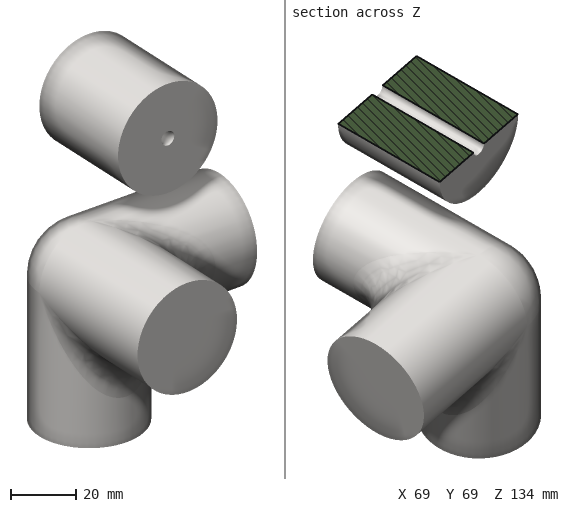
import cadquery as cq

tube_diameter = 38.0
tube_radius = tube_diameter / 2
arm_length = 50.0
crease_fillet = 15.0

plug_length = 40.0
plug_bore = 5.0
overall_height = 134
plug_axis_z = overall_height - arm_length - tube_radius

ARM_DIRECTIONS = [(1, 0, 0), (0, 1, 0), (0, 0, -1)]


def make_elbow():
    """Three equal arms from a ball corner, blended along their inner creases."""
    elbow = cq.Workplane("XY").sphere(tube_radius)
    for direction in ARM_DIRECTIONS:
        arm_plane = cq.Plane(origin=(0, 0, 0), normal=direction)
        elbow = elbow.union(cq.Workplane(arm_plane).circle(tube_radius).extrude(arm_length))
    return elbow.edges("%ELLIPSE").fillet(crease_fillet)


def make_plug():
    """Solid round plug along X with a small through bore."""
    plug_plane = cq.Plane(origin=(0, 0, plug_axis_z), xDir=(0, 1, 0), normal=(1, 0, 0))
    return cq.Workplane(plug_plane).circle(tube_radius).circle(plug_bore / 2).extrude(plug_length)


elbow = make_elbow()
plug = make_plug()
result = cq.Compound.makeCompound([elbow.val(), plug.val()])